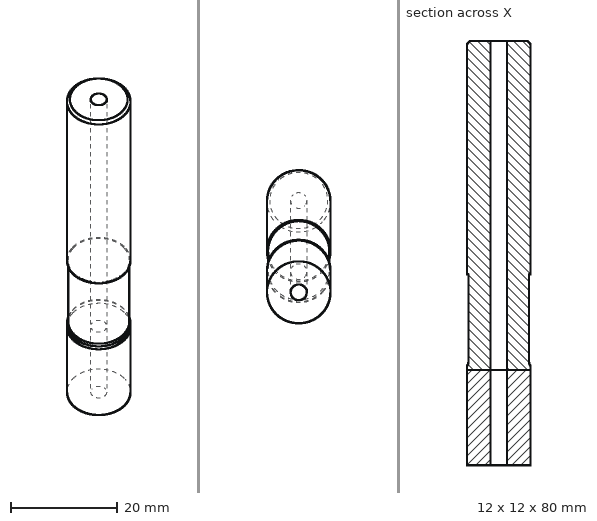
import cadquery as cq

total_length = 80.0
body_diameter = 12.0
neck_diameter = 11.5
bore_diameter = 3.0

base_height = 18.0
collar_height = 0.8
collar_taper_height = 0.5
shoulder_height = 36.0
top_chamfer = 0.6

body_radius = body_diameter / 2
neck_radius = neck_diameter / 2
bore_radius = bore_diameter / 2
collar_top = base_height + collar_height
neck_bottom = collar_top + collar_taper_height


def make_base():
    """Plain tube that carries the shaft on its upper end."""
    return cq.Workplane("XY").circle(body_radius).circle(bore_radius).extrude(base_height)


def make_shaft():
    """Bored shaft with a tapered collar, a narrower neck and a chamfered top."""
    half_section = (
        cq.Workplane("XZ")
        .moveTo(bore_radius, base_height)
        .lineTo(body_radius, base_height)
        .lineTo(body_radius, collar_top)
        .lineTo(neck_radius, neck_bottom)
        .lineTo(neck_radius, shoulder_height)
        .lineTo(body_radius, shoulder_height)
        .lineTo(body_radius, total_length - top_chamfer)
        .lineTo(body_radius - top_chamfer, total_length)
        .lineTo(bore_radius, total_length)
        .close()
    )
    return half_section.revolve(360, (0, 0, 0), (0, 1, 0))


base = make_base()
shaft = make_shaft()

result = cq.Compound.makeCompound([base.val(), shaft.val()])